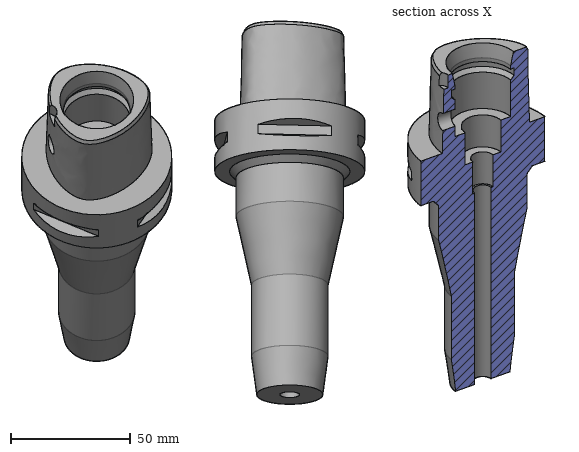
import cadquery as cq
import math

total_height = 158.0
nose_cone_top = 16.7
slim_shank_top = 48.0
neck_cone_top = 78.0
flange_cone_bottom = 95.1
flange_bottom = 98.0
flange_top = 120.2

nose_radius = 13.9
slim_shank_radius = 16.1
neck_radius = 22.6
flange_cone_radius = 25.3
flange_diameter = 63.0
flange_radius = flange_diameter / 2

lobe_mean_radius = 22.3
lobe_rise = 1.6
shank_taper = 1 / 40
rim_chamfer_height = 1.6
rim_chamfer_width = 0.8
lobe_curve_points = 36

groove_count = 4
groove_height = 107.9
groove_floor_distance = 27.5
groove_floor_width = 4.1
groove_mouth_width = 7.6

mouth_radius = 15.5
main_bore_radius = 14.0
undercut_radius = 15.8
mouth_cone_depth = 6.5
undercut_start_depth = 8.4
undercut_end_depth = 11.8
main_bore_start_depth = 13.6
main_bore_depth = 31.6
middle_bore_radius = 9.0
middle_bore_depth = 47.4
lower_bore_radius = 5.0
lower_bore_depth = 63.2
through_radius = 4.1

side_hole_radius = 4.1
side_hole_height = 135.5
notch_radius = 4.3
notch_reach = 17.7
notch_depth = 6.3


def lobe_outline(height, inset):
    """Closed three-lobed curve with one lobe toward +Y, moved inward by inset."""

    def point(t):
        angle = 2 * math.pi * t
        reach = lobe_mean_radius - inset - lobe_rise * math.sin(3 * angle)
        slope = -3 * lobe_rise * math.cos(3 * angle)
        x = reach * math.cos(angle) - slope * math.sin(angle)
        y = reach * math.sin(angle) + slope * math.cos(angle)
        return (x, y, height)

    points = [cq.Vector(*point(i / lobe_curve_points)) for i in range(lobe_curve_points)]
    return cq.Wire.assembleEdges([cq.Edge.makeSpline(points, periodic=True)])


def make_shank():
    chamfer_start = total_height - rim_chamfer_height
    chamfer_inset = (chamfer_start - flange_top) * shank_taper
    base = lobe_outline(flange_top, 0)
    shoulder = lobe_outline(chamfer_start, chamfer_inset)
    rim = lobe_outline(total_height, chamfer_inset + rim_chamfer_width)
    taper = cq.Workplane(obj=cq.Solid.makeLoft([base, shoulder], True))
    chamfer = cq.Workplane(obj=cq.Solid.makeLoft([shoulder, rim], True))
    return taper.union(chamfer)


def make_body():
    profile = [
        (0, 0),
        (nose_radius, 0),
        (slim_shank_radius, nose_cone_top),
        (slim_shank_radius, slim_shank_top),
        (neck_radius, neck_cone_top),
        (neck_radius, flange_cone_bottom),
        (flange_cone_radius, flange_bottom),
        (flange_radius, flange_bottom),
        (flange_radius, flange_top),
        (0, flange_top),
    ]
    return cq.Workplane("XZ").polyline(profile).close().revolve(360, (0, 0), (0, 1))


def make_bore():
    radius_and_depth = [
        (0, 0),
        (mouth_radius, 0),
        (main_bore_radius, mouth_cone_depth),
        (main_bore_radius, undercut_start_depth),
        (undercut_radius, undercut_start_depth),
        (undercut_radius, undercut_end_depth),
        (main_bore_radius, main_bore_start_depth),
        (main_bore_radius, main_bore_depth),
        (middle_bore_radius, main_bore_depth),
        (middle_bore_radius, middle_bore_depth),
        (lower_bore_radius, middle_bore_depth),
        (lower_bore_radius, lower_bore_depth),
        (through_radius, lower_bore_depth),
        (through_radius, total_height),
        (0, total_height),
    ]
    profile = [(radius, total_height - depth) for radius, depth in radius_and_depth]
    return cq.Workplane("XZ").polyline(profile).close().revolve(360, (0, 0), (0, 1))


def make_groove(angle):
    """Straight groove with sloping flanks, facing outward at the given angle about Z."""
    half_floor = groove_floor_width / 2
    half_mouth = groove_mouth_width / 2
    profile = [
        (groove_floor_distance, groove_height - half_floor),
        (flange_radius, groove_height - half_mouth),
        (flange_radius, groove_height + half_mouth),
        (groove_floor_distance, groove_height + half_floor),
    ]
    groove = cq.Workplane("XZ").polyline(profile).close().extrude(flange_radius, both=True)
    return groove.rotate((0, 0, 0), (0, 0, 1), angle)


def make_side_hole():
    """Radial hole from the -Y side into the main bore."""
    return (
        cq.Workplane("XZ")
        .center(0, side_hole_height)
        .circle(side_hole_radius)
        .extrude(flange_radius)
    )


def make_notch():
    """Round-backed notch in the rim on the -Y side."""
    return (
        cq.Workplane("XY", origin=(0, -notch_reach - notch_radius, total_height))
        .circle(notch_radius)
        .extrude(-notch_depth)
    )


result = make_body().union(make_shank())
result = result.cut(make_bore()).cut(make_side_hole()).cut(make_notch())
for index in range(groove_count):
    result = result.cut(make_groove((index + 0.5) * 360 / groove_count))